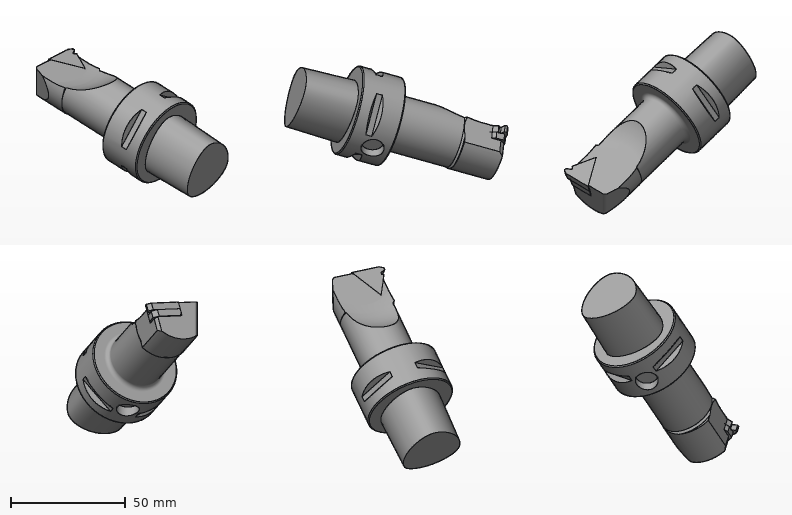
import cadquery as cq
import math

TAPER_LENGTH = 24.0
COLLAR_LENGTH = 20.0
TIP_X = -70.0
INSERT_OVERHANG = 0.6
HEAD_FRONT_X = TIP_X + INSERT_OVERHANG
HEAD_BACK_X = -50.2

TAPER_RADIUS = 14.1
TAPER_END_RADIUS = 13.4
LOBE_HEIGHT = 0.9
TAPER_POINTS = 24

COLLAR_RADIUS = 20.0
COLLAR_CHAMFER = 0.5
GROOVE_X = -8.0
GROOVE_FLOOR_WIDTH = 2.7
GROOVE_FLOOR_RADIUS = 17.7
GROOVE_WALL_ANGLE = 30.0
GROOVE_COUNT = 4
CHIP_HOLE_DIAMETER = 10.0
CHIP_HOLE_X = -12.0
CHIP_HOLE_DEPTH = 4.5

SHANK_RADIUS = 12.5
SHANK_FILLET = 2.0
HEAD_RADIUS = 14.0
HEAD_OFFSET_Y = HEAD_RADIUS - SHANK_RADIUS
BACK_CHAMFER = 0.95
RELIEF_ANGLE = 20.0
RELIEF_START_X = -57.9
RELIEF_FILLET = 2.0

TILT_ANGLE = 15.0
RAKE_HEIGHT = 4.17
SCOOP_CENTER_U = -70.9
SCOOP_CENTER_V = 0.3
SCOOP_FLAT_RADIUS = 18.5
SCOOP_ARC_RADIUS = 27.0
SCOOP_START_ANGLE = 4.0
SCOOP_HEIGHT = 12.0
HEAD_FLANK_V = 12.6
HEAD_CORNER_V = 11.55

INSERT_SIDE = 16.5
INSERT_THICKNESS = 3.3
SEAT_THICKNESS = 3.2
SEAT_CORNER_V = 11.2
SEAT_TOP_V = 13.6
TOOTH_TIP_V = 15.3
TOOTH_SHOULDER_V = 13.25
TOOTH_VALLEY_V = 12.95
TOOTH_TIP_START = 1.0
TOOTH_TIP_END = 2.1
TOOTH_VALLEY_START = 3.1
TOOTH_VALLEY_END = 3.85
TOOTH_SIDE_START = 4.5

MARGIN = 5.0
COS30 = math.cos(math.radians(30))
SIN30 = math.sin(math.radians(30))


def cutting_plane(w=0.0):
    """Workplane parallel to the rake face, w above it."""
    tilt = math.radians(TILT_ANGLE)
    normal = cq.Vector(0, math.sin(tilt), math.cos(tilt))
    return cq.Workplane(cq.Plane(origin=normal * (RAKE_HEIGHT + w), xDir=(1, 0, 0), normal=normal))


def axial_cylinder(radius, start, end, y=0.0):
    return cq.Workplane("YZ", origin=(start, 0, 0)).center(y, 0).circle(radius).extrude(end - start)


def lobed_point(angle, radius):
    """Point of a three-lobed curve whose tangent lies radius + lobe from the axis."""
    phase = 3 * (angle - math.pi / 2)
    reach = radius + LOBE_HEIGHT * math.cos(phase)
    slide = -3 * LOBE_HEIGHT * math.sin(phase)
    return (reach * math.cos(angle) - slide * math.sin(angle),
            reach * math.sin(angle) + slide * math.cos(angle))


def make_taper():
    """Polygon taper, narrowing towards +X."""
    def outline(radius):
        return [lobed_point(2 * math.pi * i / TAPER_POINTS, radius) for i in range(TAPER_POINTS)]

    return (
        cq.Workplane("YZ")
        .spline(outline(TAPER_RADIUS), periodic=True)
        .close()
        .workplane(offset=TAPER_LENGTH)
        .spline(outline(TAPER_END_RADIUS), periodic=True)
        .close()
        .loft(ruled=True)
    )


def make_collar():
    """Collar with V-sided gripper grooves and a blind round hole in its underside."""
    collar = axial_cylinder(COLLAR_RADIUS, -COLLAR_LENGTH, 0).edges().chamfer(COLLAR_CHAMFER)
    height = COLLAR_RADIUS - GROOVE_FLOOR_RADIUS + MARGIN
    half_floor = GROOVE_FLOOR_WIDTH / 2
    half_top = half_floor + height * math.tan(math.radians(GROOVE_WALL_ANGLE))
    groove = (
        cq.Workplane("XZ", origin=(GROOVE_X, 0, GROOVE_FLOOR_RADIUS))
        .polyline([(-half_floor, 0), (half_floor, 0), (half_top, height), (-half_top, height)])
        .close()
        .extrude(COLLAR_RADIUS, both=True)
    )
    for i in range(GROOVE_COUNT):
        angle = (i + 0.5) * 360 / GROOVE_COUNT
        collar = collar.cut(groove.rotate((0, 0, 0), (1, 0, 0), angle))
    chip_hole = (
        cq.Workplane("XY", origin=(CHIP_HOLE_X, 0, -COLLAR_RADIUS))
        .circle(CHIP_HOLE_DIAMETER / 2)
        .extrude(CHIP_HOLE_DEPTH)
    )
    return collar.cut(chip_hole)


def make_shank():
    """Shank with a concave fillet against the collar, as a turned profile."""
    root = SHANK_RADIUS + SHANK_FILLET
    bend = SHANK_FILLET * math.sin(math.pi / 4)
    return (
        cq.Workplane("XY")
        .moveTo(HEAD_BACK_X, 0)
        .lineTo(HEAD_BACK_X, SHANK_RADIUS)
        .lineTo(-COLLAR_LENGTH - SHANK_FILLET, SHANK_RADIUS)
        .threePointArc((-COLLAR_LENGTH - SHANK_FILLET + bend, root - bend), (-COLLAR_LENGTH, root))
        .lineTo(-COLLAR_LENGTH, 0)
        .close()
        .revolve(360, (0, 0, 0), (1, 0, 0))
    )


def triangle_point(along_front):
    """Point on the insert's upper slanted side, at a distance behind the front edge."""
    return (TIP_X + along_front, INSERT_SIDE - along_front * SIN30 / COS30)


def make_head():
    """Eccentric round head with a back cone, a relief face and a cutting-side flank."""
    cylinder_end = HEAD_BACK_X - BACK_CHAMFER
    cylinder = axial_cylinder(HEAD_RADIUS, HEAD_FRONT_X, cylinder_end, HEAD_OFFSET_Y)
    cone = (
        cq.Workplane("YZ", origin=(cylinder_end, 0, 0))
        .circle(SHANK_RADIUS + BACK_CHAMFER)
        .workplane(offset=BACK_CHAMFER)
        .circle(SHANK_RADIUS)
        .loft()
    )
    cone = cone.intersect(axial_cylinder(HEAD_RADIUS, cylinder_end, HEAD_BACK_X, HEAD_OFFSET_Y))
    head = cylinder.union(cone)

    far_y = -HEAD_RADIUS - MARGIN
    relief_rise = (RELIEF_START_X - HEAD_FRONT_X) * math.tan(math.radians(RELIEF_ANGLE))
    relief_envelope = (
        cq.Workplane("XY", origin=(0, 0, -HEAD_RADIUS - MARGIN))
        .moveTo(HEAD_FRONT_X, -SHANK_RADIUS + relief_rise)
        .lineTo(RELIEF_START_X, -SHANK_RADIUS)
        .lineTo(RELIEF_START_X, far_y)
        .lineTo(0, far_y)
        .lineTo(0, -far_y)
        .lineTo(HEAD_FRONT_X, -far_y)
        .close()
        .extrude(2 * (HEAD_RADIUS + MARGIN))
    )
    corner = cq.selectors.NearestToPointSelector((HEAD_FRONT_X, -SHANK_RADIUS + relief_rise, 0))
    head = head.intersect(relief_envelope.edges("|Z").edges(corner).fillet(RELIEF_FILLET))

    flank_u = HEAD_FRONT_X + (HEAD_FLANK_V - HEAD_CORNER_V) * COS30 / SIN30
    flank_envelope = (
        cutting_plane(-2 * HEAD_RADIUS)
        .polyline([
            (HEAD_FRONT_X, -2 * HEAD_RADIUS),
            (HEAD_FRONT_X, HEAD_CORNER_V),
            (flank_u, HEAD_FLANK_V),
            (0, HEAD_FLANK_V),
            (0, -2 * HEAD_RADIUS),
        ])
        .close()
        .extrude(4 * HEAD_RADIUS)
    )
    return head.intersect(flank_envelope)


def make_scoop():
    """Turned cutter: flat bottom on the rake face, then a concave arc that starts at a slight rise."""
    start = math.radians(SCOOP_START_ANGLE)
    center_r = SCOOP_FLAT_RADIUS - SCOOP_ARC_RADIUS * math.sin(start)
    center_h = SCOOP_ARC_RADIUS * math.cos(start)

    def wall_point(height):
        reach = math.sqrt(SCOOP_ARC_RADIUS**2 - (center_h - height)**2)
        return (center_r + reach, height)

    tilt = math.radians(TILT_ANGLE)
    frame = cq.Plane(
        origin=cutting_plane().plane.toWorldCoords((SCOOP_CENTER_U, SCOOP_CENTER_V, 0)),
        xDir=(1, 0, 0),
        normal=(0, -math.cos(tilt), math.sin(tilt)),
    )
    return (
        cq.Workplane(frame)
        .lineTo(SCOOP_FLAT_RADIUS, 0)
        .threePointArc(wall_point(SCOOP_HEIGHT / 2), wall_point(SCOOP_HEIGHT))
        .lineTo(0, SCOOP_HEIGHT)
        .close()
        .revolve(360, (0, 0, 0), (0, 1, 0))
    )


def insert_apex():
    return (TIP_X + INSERT_SIDE * COS30, INSERT_SIDE / 2)


def make_seat():
    """Triangular seat under the insert, with its cutting corner taken off."""
    return (
        cutting_plane(-INSERT_THICKNESS - SEAT_THICKNESS)
        .polyline([
            (TIP_X, 0),
            insert_apex(),
            triangle_point((INSERT_SIDE - SEAT_TOP_V) * COS30 / SIN30),
            (TIP_X + (SEAT_TOP_V - SEAT_CORNER_V) * SIN30 / COS30, SEAT_TOP_V),
            (TIP_X, SEAT_CORNER_V),
        ])
        .close()
        .extrude(SEAT_THICKNESS)
    )


def make_insert():
    """Triangular threading insert with one tooth ground into its cutting corner."""
    return (
        cutting_plane(-INSERT_THICKNESS)
        .polyline([
            (TIP_X, 0),
            insert_apex(),
            triangle_point(TOOTH_SIDE_START),
            (TIP_X + TOOTH_VALLEY_END, TOOTH_VALLEY_V),
            (TIP_X + TOOTH_VALLEY_START, TOOTH_VALLEY_V),
            (TIP_X + TOOTH_TIP_END, TOOTH_TIP_V),
            (TIP_X + TOOTH_TIP_START, TOOTH_TIP_V),
            (TIP_X, TOOTH_SHOULDER_V),
        ])
        .close()
        .extrude(INSERT_THICKNESS)
    )


insert = make_insert()
holder = make_head().union(make_shank()).cut(make_scoop())
holder = holder.union(make_collar()).union(make_taper()).union(make_seat()).cut(insert)

result = cq.Compound.makeCompound([holder.val(), insert.val()])